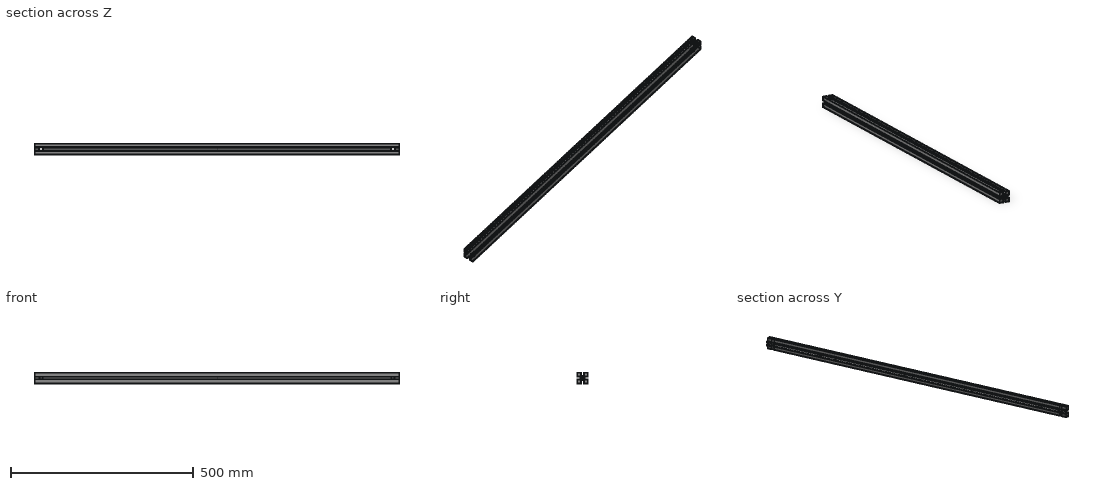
import cadquery as cq

length = 1000.0
side = 30.0

groove_width = 8.0
groove_depth = 9.0

core_bore_diameter = 7.0

cross_hole_diameter = 11.0
cross_hole_end_distance = 18.0


def bar_blank():
    """Solid square bar centred on the origin."""
    return cq.Workplane("XY").box(length, side, side)


def top_groove():
    """Full-length groove cutter for the top face."""
    groove_centre_z = side / 2 - groove_depth / 2
    cutter = cq.Workplane("XY").box(length, groove_width, groove_depth)
    return cutter.translate((0, 0, groove_centre_z))


def core_bore():
    """Through bore cutter along the bar axis."""
    return cq.Workplane("YZ").circle(core_bore_diameter / 2).extrude(length / 2, both=True)


def cross_holes():
    """Holes through the full height of the bar, centred on the top and bottom grooves."""
    hole_x = length / 2 - cross_hole_end_distance
    return (
        cq.Workplane("XY")
        .pushPoints([(-hole_x, 0), (hole_x, 0)])
        .circle(cross_hole_diameter / 2)
        .extrude(side / 2, both=True)
    )


result = bar_blank()
for face_angle in (0, 90, 180, 270):
    result = result.cut(top_groove().rotate((0, 0, 0), (1, 0, 0), face_angle))
result = result.cut(core_bore())
result = result.cut(cross_holes())